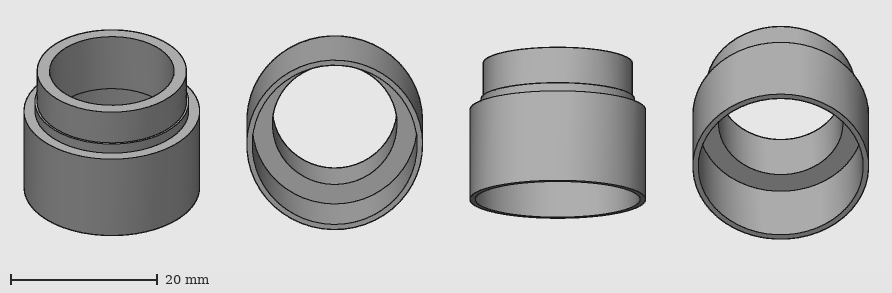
import cadquery as cq

total_height = 19.0
body_height = 12.5
collar_height = 1.5
upper_bore_depth = 8.5

body_diameter = 24.0
collar_diameter = 21.0
neck_diameter = 20.4
upper_bore_diameter = 17.0
lower_bore_diameter = 22.5

collar_top = body_height + collar_height
neck_height = total_height - collar_top
lower_bore_depth = total_height - upper_bore_depth


def cylinder(diameter, height, base_z=0.0):
    """Solid cylinder on the Z axis, standing on base_z."""
    return cq.Workplane("XY").workplane(offset=base_z).circle(diameter / 2).extrude(height)


outside = (
    cylinder(body_diameter, body_height)
    .union(cylinder(collar_diameter, collar_height, body_height))
    .union(cylinder(neck_diameter, neck_height, collar_top))
)

result = (
    outside
    .cut(cylinder(upper_bore_diameter, total_height))
    .cut(cylinder(lower_bore_diameter, lower_bore_depth))
)